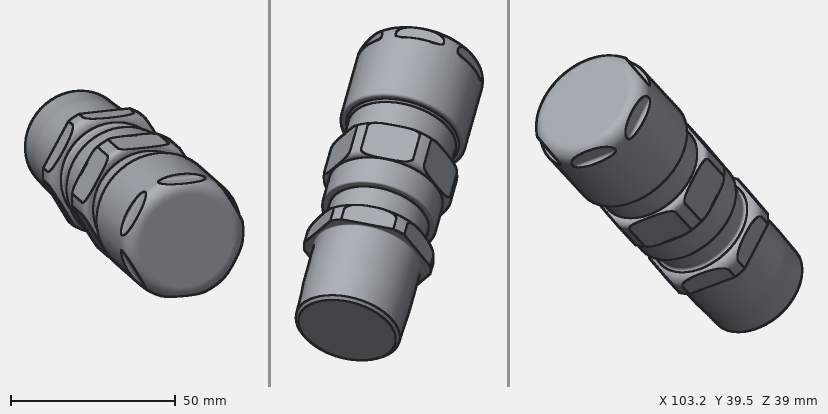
import cadquery as cq
import math


thread_end = 12.8
entry_hex_start = 27.5
entry_hex_end = 34.6
nut_start = 43.0
nut_hex_start = 52.4
nut_hex_end = 65.1
seal_start = 74.3
cap_start = 75.0
cap_flat_start = 97.1
overall_length = 103.2

across_flats = 36.0
corner_diameter = 39.5
corner_radius = corner_diameter / 2
flat_count = 6

end_face_radius = 30.5 / 2
end_chamfer = 1.0
entry_radius = 33.4 / 2
entry_root_fillet = 0.3
entry_hex_round = 3.4
spigot_radius = 31.2 / 2
spigot_root_fillet = 0.9
spigot_root_radius = spigot_radius + spigot_root_fillet

collar_radius = 35.6 / 2
collar_fillet = 0.5
nut_hex_round = 1.9
neck_radius = 33.8 / 2
neck_engagement = 10.3

seal_lip = cap_start - seal_start
seal_radius = neck_radius + seal_lip
seal_depth = 1.5

cap_radius = 39.0 / 2
cap_front_fillet = 0.8
cap_end_round = 4.5
flat_root_fillet = 0.9


def arc_middle(center_x, center_r, radius, angle):
    """Point on an arc at the given angle in degrees, in the (axial, radial) plane."""
    a = math.radians(angle)
    return center_x + radius * math.cos(a), center_r + radius * math.sin(a)


def cylinder(start, end, radius):
    return cq.Workplane("YZ", origin=(start, 0, 0)).circle(radius).extrude(end - start)


def revolve_on_axis(profile):
    """Revolve a closed (axial, radial) profile about the X axis."""
    return profile.close().revolve(360, (0, 0, 0), (1, 0, 0))


def hexagon_prism(start, end):
    """Hexagonal prism with flats facing +Z and -Z and corners on the Y axis."""
    sharp_corner_diameter = across_flats / math.cos(math.pi / flat_count)
    section = cq.Workplane("YZ", origin=(start, 0, 0)).polygon(flat_count, sharp_corner_diameter)
    return section.extrude(end - start)


def rounded_hexagon(start, end, edges, rounding):
    """Hexagonal prism trimmed by a cylinder whose selected end edges are rounded."""
    trim = cylinder(start, end, corner_radius).edges(edges).fillet(rounding)
    return hexagon_prism(start, end).intersect(trim)


def make_entry_body():
    fillet_start = entry_hex_start - entry_root_fillet
    fillet_end = entry_hex_end + spigot_root_fillet
    fillet_top = entry_radius + entry_root_fillet
    barrel = revolve_on_axis(
        cq.Workplane("XY")
        .lineTo(0, end_face_radius)
        .lineTo(end_chamfer, end_face_radius + end_chamfer)
        .lineTo(thread_end, entry_radius)
        .lineTo(fillet_start, entry_radius)
        .threePointArc(
            arc_middle(fillet_start, fillet_top, entry_root_fillet, -45),
            (entry_hex_start, fillet_top),
        )
        .lineTo(entry_hex_start, spigot_root_radius)
        .lineTo(entry_hex_end, spigot_root_radius)
        .threePointArc(
            arc_middle(fillet_end, spigot_root_radius, spigot_root_fillet, -135),
            (fillet_end, spigot_radius),
        )
        .lineTo(nut_hex_start, spigot_radius)
        .lineTo(nut_hex_start, 0)
    )
    return barrel.union(rounded_hexagon(entry_hex_start, entry_hex_end, ">X", entry_hex_round))


def make_middle_nut():
    collar = cylinder(nut_start, nut_hex_start, collar_radius).edges("<X").fillet(collar_fillet)
    hexagon = rounded_hexagon(nut_hex_start, nut_hex_end, "<X or >X", nut_hex_round)
    neck = cylinder(nut_hex_end, cap_start + neck_engagement, neck_radius)
    spigot_hole = cylinder(nut_start, nut_hex_start, spigot_radius)
    return collar.union(hexagon).union(neck).cut(spigot_hole)


def make_seal_ring():
    ring = cylinder(seal_start, cap_start + seal_depth, seal_radius)
    ring_hole = cylinder(seal_start, cap_start + seal_depth, neck_radius)
    cone = revolve_on_axis(
        cq.Workplane("XY")
        .moveTo(seal_start, neck_radius)
        .lineTo(cap_start, seal_radius)
        .lineTo(seal_start, seal_radius)
    )
    return ring.cut(ring_hole).cut(cone)


def make_flat_cutter():
    """Material removed above the +Z spanner flat: a flat floor with a filleted step at its start."""
    length = overall_length - cap_flat_start
    block = cq.Workplane("XY").box(length, 2 * cap_radius, cap_radius, centered=(False, True, False))
    block = block.edges("|Y and <X and <Z").fillet(flat_root_fillet)
    return block.translate((cap_flat_start, 0, across_flats / 2))


def make_back_nut():
    cap = cylinder(cap_start, overall_length, cap_radius)
    cap = cap.edges("<X").fillet(cap_front_fillet).edges(">X").fillet(cap_end_round)
    flat_cutter = make_flat_cutter()
    for i in range(flat_count):
        cap = cap.cut(flat_cutter.rotate((0, 0, 0), (1, 0, 0), i * 360 / flat_count))
    seal_recess = cylinder(cap_start, cap_start + seal_depth, seal_radius)
    neck_hole = cylinder(cap_start, cap_start + neck_engagement, neck_radius)
    return cap.cut(seal_recess).cut(neck_hole)


entry_body = make_entry_body()
middle_nut = make_middle_nut()
seal_ring = make_seal_ring()
back_nut = make_back_nut()

result = cq.Compound.makeCompound([entry_body.val(), middle_nut.val(), seal_ring.val(), back_nut.val()])